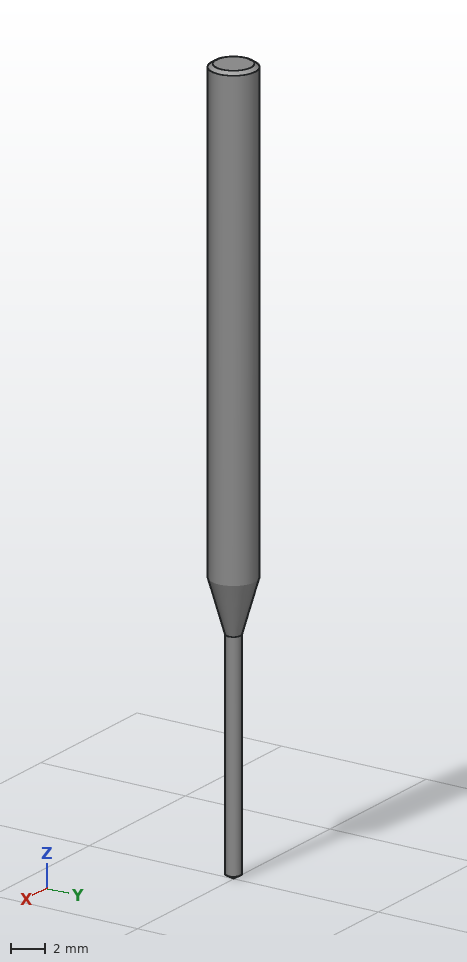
import cadquery as cq
import math

total_length = 50.0
shank_bottom_z = 18.5
taper_bottom_z = 15.0

shank_diameter = 3.0
drill_diameter = 1.0

chamfer_width = 0.3
chamfer_height = 0.2

point_angle = 118.0

shank_radius = shank_diameter / 2
drill_radius = drill_diameter / 2
point_height = drill_radius / math.tan(math.radians(point_angle / 2))


def revolve_profile(points):
    """Revolve a closed outline of (radius, Z) points around the Z axis."""
    return cq.Workplane("XZ").polyline(points).close().revolve(360, (0, 0), (0, 1))


def make_shank():
    """Cylindrical shank with a chamfered top, tapering down to the drill diameter."""
    return revolve_profile([
        (0, taper_bottom_z),
        (drill_radius, taper_bottom_z),
        (shank_radius, shank_bottom_z),
        (shank_radius, total_length - chamfer_height),
        (shank_radius - chamfer_width, total_length),
        (0, total_length),
    ])


def make_drill():
    """Slender cylindrical drill with a conical point, butted against the taper."""
    return revolve_profile([
        (0, 0),
        (drill_radius, point_height),
        (drill_radius, taper_bottom_z),
        (0, taper_bottom_z),
    ])


shank = make_shank()
drill = make_drill()

result = cq.Compound.makeCompound([shank.val(), drill.val()])